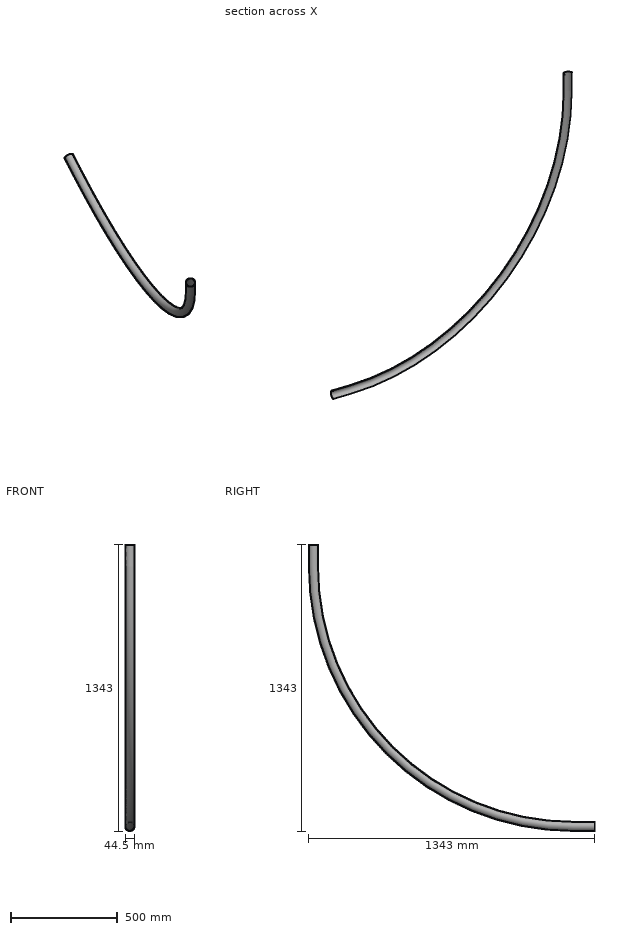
import cadquery as cq

OUTER_DIAMETER = 44.45
INNER_DIAMETER = 40.23
BEND_RADIUS = 1219.2
TAIL_LENGTH = 101.6
BEND_ANGLE = 90.0


def tube_section(workplane):
    """Annular tube profile centred on the workplane origin."""
    return workplane.circle(OUTER_DIAMETER / 2).circle(INNER_DIAMETER / 2)


def make_horizontal_tail():
    """Tail leaving the low end of the bend along +Y."""
    return tube_section(cq.Workplane("ZX")).extrude(TAIL_LENGTH)


def make_bend():
    """Quarter bend from the origin, heading along -Y and curving up to +Z."""
    axis_start = (BEND_RADIUS, 0, 0)
    axis_end = (BEND_RADIUS, -1, 0)
    return tube_section(cq.Workplane("ZX")).revolve(BEND_ANGLE, axis_start, axis_end)


def make_vertical_tail():
    """Tail leaving the high end of the bend along +Z."""
    bend_end = (0, -BEND_RADIUS, BEND_RADIUS)
    return tube_section(cq.Workplane("XY", origin=bend_end)).extrude(TAIL_LENGTH)


result = make_horizontal_tail().union(make_bend()).union(make_vertical_tail())